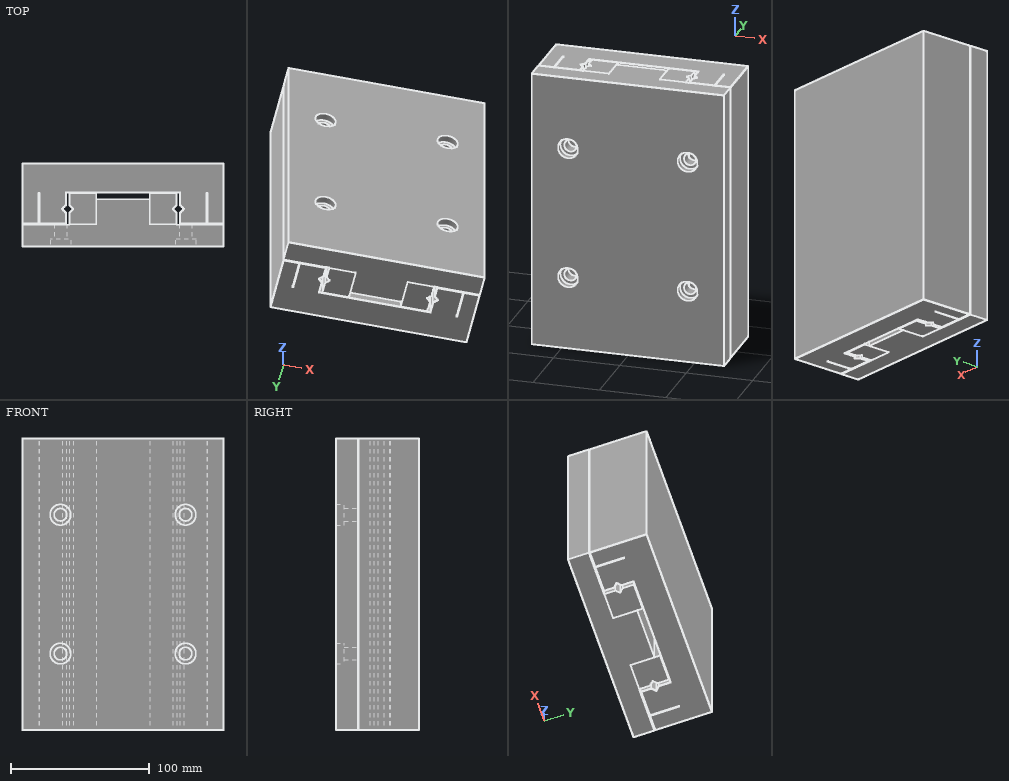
import cadquery as cq


length = 210.0
width = 145.0
height = 60.0

front_y = -height / 2
back_y = height / 2
plate_thickness = 16.0
plate_y = front_y + plate_thickness
seat_rise = 0.2
rail_seat_y = plate_y + seat_rise
running_gap = 0.6
carriage_y = plate_y + running_gap
rail_top_y = 8.6
roof_gap = 0.5
channel_y = rail_top_y + roof_gap
rib_top_y = 4.5

rib_half_width = 19.1
rail_outer_x = 38.6
channel_half_width = 41.0

edge_chamfer = 0.3

groove_depth = 2.7
groove_y = -2.7

slit_x = 60.5
slit_width = 0.6
slit_top_y = 8.8

hole_spacing_x = 90.0
hole_spacing_z = 100.0
hole_diameter = 9.0
counterbore_diameter = 15.0
counterbore_depth = 5.9


def block(x_min, x_max, y_min, y_max):
    """Full-length bar between two X and two Y limits."""
    return (
        cq.Workplane("XY")
        .box(x_max - x_min, y_max - y_min, length, centered=False)
        .translate((x_min, y_min, -length / 2))
    )


def v_groove(wall_x):
    """Full-length square bar on edge, centred on a wall, that cuts a 90 degree V into it."""
    return (
        cq.Workplane("XY", origin=(wall_x, groove_y, -length / 2))
        .polyline([(-groove_depth, 0), (0, -groove_depth), (groove_depth, 0), (0, groove_depth)])
        .close()
        .extrude(length)
    )


def make_base():
    """Plate with a chamfered mounting face, a rail seat, a middle rib and four counterbored holes."""
    plate = block(-width / 2, width / 2, front_y, plate_y)
    plate = plate.faces("<Y").edges().chamfer(edge_chamfer)
    seat = block(-rail_outer_x, rail_outer_x, plate_y, rail_seat_y)
    rib = block(-rib_half_width, rib_half_width, rail_seat_y, rib_top_y)
    return (
        plate.union(seat)
        .union(rib)
        .copyWorkplane(cq.Workplane("XZ", origin=(0, front_y, 0)))
        .rarray(hole_spacing_x, hole_spacing_z, 2, 2)
        .cboreHole(hole_diameter, counterbore_diameter, counterbore_depth, plate_thickness)
    )


def make_rail(side):
    """Rail on the -X (side = -1) or +X (side = 1) flank of the rib."""
    inner_x = side * rib_half_width
    outer_x = side * rail_outer_x
    bar = block(min(inner_x, outer_x), max(inner_x, outer_x), rail_seat_y, rail_top_y)
    return bar.cut(v_groove(outer_x))


def make_slit(side):
    """Narrow full-length slit that opens towards the base plate."""
    middle_x = side * slit_x
    return block(middle_x - slit_width / 2, middle_x + slit_width / 2, carriage_y, slit_top_y)


def make_carriage():
    """Bridge over the rails, chamfered around its mounting face and both ends."""
    carriage = block(-width / 2, width / 2, carriage_y, back_y)
    carriage = carriage.cut(block(-channel_half_width, channel_half_width, carriage_y, channel_y))
    for side in (-1, 1):
        carriage = carriage.cut(v_groove(side * channel_half_width))
    carriage = carriage.faces(">Y or <Z or >Z").edges().chamfer(edge_chamfer)
    for side in (-1, 1):
        carriage = carriage.cut(make_slit(side))
    return carriage


base = make_base()
rails = [make_rail(side) for side in (-1, 1)]
carriage = make_carriage()

result = cq.Compound.makeCompound([base.val(), *[rail.val() for rail in rails], carriage.val()])